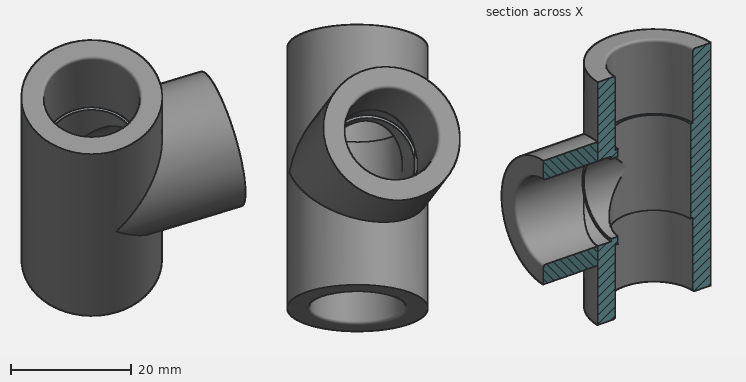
import cadquery as cq
import math

outer_diameter = 23.5
socket_diameter = 16.0
bore_diameter = 15.0
mouth_diameter = 17.0

run_length = 46.0
centre_to_end = run_length / 2
socket_depth = 14.0

outer_radius = outer_diameter / 2
socket_radius = socket_diameter / 2
bore_radius = bore_diameter / 2
mouth_radius = mouth_diameter / 2
lip_radius = mouth_radius - socket_radius

branch_angle = 0
run_top_angle = 90
run_bottom_angle = -90


def end_passage(angle):
    """Waterway from the tee centre to one end: bore, wider socket, rounded mouth."""
    socket_floor = centre_to_end - socket_depth
    lip_start = centre_to_end - lip_radius
    lip_offset = lip_radius * math.sqrt(0.5)
    half_profile = (
        cq.Workplane("XY")
        .lineTo(bore_radius, 0)
        .lineTo(bore_radius, socket_floor)
        .lineTo(socket_radius, socket_floor)
        .lineTo(socket_radius, lip_start)
        .threePointArc(
            (mouth_radius - lip_offset, lip_start + lip_offset),
            (mouth_radius, centre_to_end),
        )
        .lineTo(0, centre_to_end)
        .close()
    )
    passage = half_profile.revolve(360, (0, 0, 0), (0, 1, 0))
    return passage.rotate((0, 0, 0), (1, 0, 0), angle)


def run_envelope():
    """Solid outer cylinder of the run."""
    return cq.Workplane("XY").circle(outer_radius).extrude(centre_to_end, both=True)


def make_run():
    """Run tube, open at both ends and through its wall into the branch."""
    body = run_envelope()
    for angle in (run_top_angle, run_bottom_angle, branch_angle):
        body = body.cut(end_passage(angle))
    return body.solids()


def make_branch():
    """Branch tube whose inner end is a saddle seated on the outside of the run."""
    cylinder = cq.Workplane("XZ").circle(outer_radius).extrude(-centre_to_end)
    saddle = cylinder.cut(run_envelope())
    return saddle.cut(end_passage(branch_angle)).solids()


run = make_run()
branch = make_branch()

result = cq.Compound.makeCompound([run.val(), branch.val()])